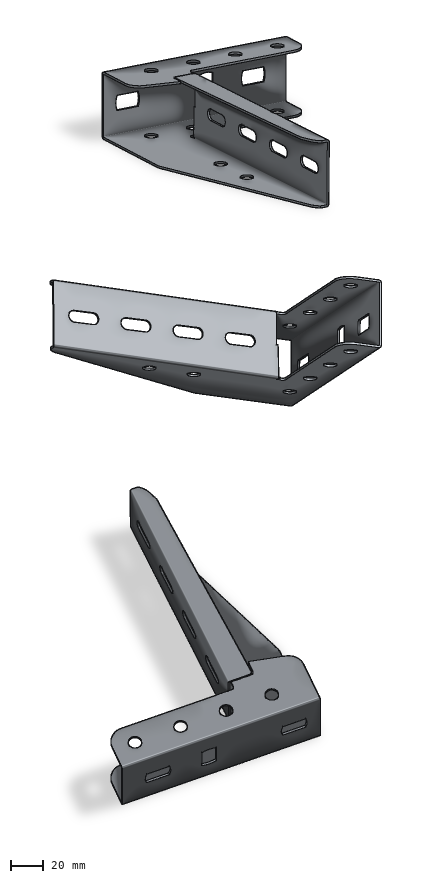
import cadquery as cq
import math

LENGTH = 182.4
WIDTH = 130.0
HEIGHT = 43.2
SHEET = 1.5
BEND_RADIUS = 1.8
MID_Z = HEIGHT / 2

UPRIGHT_DEPTH = 26.6
UPRIGHT_CORNER = 10.0
SHELF_Y = 45.6
RELIEF_RADIUS = 1.8
ARM_ROOT_X = UPRIGHT_DEPTH + 2 * RELIEF_RADIUS
TAB_NOTCH_X = 32.1
TAB_NOTCH_Y = 30.5
TAB_NOTCH_RADIUS = 2.2
TAB_TIP_X = 41.4
TAB_FOOT_X = 34.8
TAB_CORNER = 10.0

ARM_ANGLE = 1.0
ARM_END_Y = 50.2
WEB_LEAN = 1.1
TIP_LEAN = 0.5
WEB_START_X = 31.0
FLANGE_START_X = 32.6
FLANGE_FRONT_Y = 31.4
FLANGE_CORNER = 2.2
FLANGE_MEET = (169.6, 37.5)
TIP_START = (176.0, 40.0)
TIP_MID = (180.0, 42.3)
TIP_END_Y = 45.0
GUSSET_START_X = 65.7
GUSSET_CORNER = 9.1

HOLE_DIAMETER = 8.2
UPRIGHT_HOLES = 4
HOLE_PITCH = 30.0
UPRIGHT_HOLE_X = 14.2
UPRIGHT_HOLE_Y = 26.3
GUSSET_HOLE = (81.7, 34.3)
ARM_SLOTS = 4
ARM_SLOT_X = 57.0
ARM_SLOT_PITCH = 35.0
ARM_SLOT_LENGTH = 20.0
ARM_SLOT_WIDTH = 7.5
ARM_SLOT_TILT = -0.8
WALL_SLOT_LENGTH = 16.8
WALL_SLOT_WIDTH = 9.7
WALL_SLOT_BULGE = 1.0
WALL_SLOTS = [(17.3, 0), (73.1, 90), (106.7, 0)]

BLANK_DEPTH = 82.0
ARM_OVERRUN = 18.2


def channel(length):
    """C-channel along Z of the returned solid; web on x = 0, flanges towards +X, height along Y."""
    outer = (
        cq.Workplane("XY")
        .box(BLANK_DEPTH, HEIGHT, length, centered=False)
        .edges("|Z and <X").fillet(BEND_RADIUS)
    )
    inner = (
        cq.Workplane("XY")
        .box(BLANK_DEPTH, HEIGHT - 2 * SHEET, length, centered=False)
        .edges("|Z and <X").fillet(BEND_RADIUS - SHEET)
        .translate((SHEET, SHEET, 0))
    )
    return outer.cut(inner)


def lower(outline):
    return outline.close().extrude(MID_Z)


def upper(outline):
    return lower(outline).translate((0, 0, MID_Z))


def upright_back():
    """Outline start shared by both upright flanges, up to the edge beside the arm."""
    return (
        cq.Workplane("XY")
        .lineTo(0, WIDTH)
        .lineTo(UPRIGHT_DEPTH - UPRIGHT_CORNER, WIDTH)
        .radiusArc((UPRIGHT_DEPTH, WIDTH - UPRIGHT_CORNER), UPRIGHT_CORNER)
        .lineTo(UPRIGHT_DEPTH, SHELF_Y + RELIEF_RADIUS)
        .radiusArc((UPRIGHT_DEPTH + RELIEF_RADIUS, SHELF_Y), -RELIEF_RADIUS)
    )


def upright():
    blank = channel(WIDTH).rotate((0, 0, 0), (1, 0, 0), 90).translate((0, WIDTH, 0))
    overlap_x = WEB_START_X + WEB_LEAN
    bottom = lower(
        upright_back()
        .radiusArc((ARM_ROOT_X, SHELF_Y + RELIEF_RADIUS), -RELIEF_RADIUS)
        .lineTo(overlap_x, SHELF_Y)
        .lineTo(overlap_x, 0)
    )
    tab_angle = math.atan2(TAB_NOTCH_Y, TAB_TIP_X - TAB_FOOT_X)
    tangent = TAB_CORNER * math.tan(tab_angle / 2)
    corner_top = (
        TAB_FOOT_X + tangent * math.cos(tab_angle),
        tangent * math.sin(tab_angle),
    )
    top = upper(
        upright_back()
        .lineTo(TAB_NOTCH_X, SHELF_Y)
        .lineTo(TAB_NOTCH_X, TAB_NOTCH_Y + TAB_NOTCH_RADIUS)
        .radiusArc((TAB_NOTCH_X + TAB_NOTCH_RADIUS, TAB_NOTCH_Y), -TAB_NOTCH_RADIUS)
        .lineTo(TAB_TIP_X, TAB_NOTCH_Y)
        .lineTo(*corner_top)
        .radiusArc((TAB_FOOT_X - tangent, 0), TAB_CORNER)
    )
    return blank.intersect(bottom.union(top))


def arm_tip(outline):
    """Rounded free end of an arm flange, up to the far side of the arm."""
    return (
        outline.lineTo(*TIP_START)
        .threePointArc(TIP_MID, (LENGTH, TIP_END_Y))
        .lineTo(LENGTH, WIDTH)
    )


def arm():
    blank = (
        channel(LENGTH + ARM_OVERRUN)
        .rotate((0, 0, 0), (1, 0, 0), 90)
        .rotate((0, 0, 0), (0, 0, 1), -90)
        .translate((LENGTH + ARM_OVERRUN, 0, 0))
        .rotate((LENGTH, 0, 0), (LENGTH, 0, 1), ARM_ANGLE)
        .translate((0, ARM_END_Y, 0))
    )
    lean_trim = (
        cq.Workplane("XZ")
        .polyline([
            (WEB_START_X, 0),
            (LENGTH - TIP_LEAN, 0),
            (LENGTH, HEIGHT),
            (WEB_START_X + WEB_LEAN, HEIGHT),
        ])
        .close()
        .extrude(-WIDTH)
    )
    gusset_angle = math.atan2(FLANGE_MEET[1], FLANGE_MEET[0] - GUSSET_START_X)
    tangent = GUSSET_CORNER * math.tan(gusset_angle / 2)
    bottom = lower(
        arm_tip(
            cq.Workplane("XY")
            .moveTo(ARM_ROOT_X, 0)
            .lineTo(GUSSET_START_X - tangent, 0)
            .radiusArc(
                (
                    GUSSET_START_X + tangent * math.cos(gusset_angle),
                    tangent * math.sin(gusset_angle),
                ),
                -GUSSET_CORNER,
            )
        ).lineTo(ARM_ROOT_X, WIDTH)
    )
    top = upper(
        arm_tip(
            cq.Workplane("XY")
            .moveTo(FLANGE_START_X, FLANGE_FRONT_Y + FLANGE_CORNER)
            .radiusArc((FLANGE_START_X + FLANGE_CORNER, FLANGE_FRONT_Y), -FLANGE_CORNER)
            .lineTo(*FLANGE_MEET)
        ).lineTo(FLANGE_START_X, WIDTH)
    )
    return blank.intersect(bottom.union(top)).intersect(lean_trim)


def round_holes(points, height):
    return cq.Workplane("XY").pushPoints(points).circle(HOLE_DIAMETER / 2).extrude(height)


def upright_holes():
    """Row of holes through both upright flanges."""
    points = [(UPRIGHT_HOLE_X, UPRIGHT_HOLE_Y + i * HOLE_PITCH) for i in range(UPRIGHT_HOLES)]
    return round_holes(points, HEIGHT)


def gusset_holes():
    """Pair of holes in the lower flange only, in line with the turned arm."""
    turn = math.radians(ARM_ANGLE)
    x, y = GUSSET_HOLE
    second = (x + HOLE_PITCH * math.cos(turn), y + HOLE_PITCH * math.sin(turn))
    return round_holes([GUSSET_HOLE, second], SHEET)


def arm_slots():
    points = [(ARM_SLOT_X + i * ARM_SLOT_PITCH, MID_Z) for i in range(ARM_SLOTS)]
    return (
        cq.Workplane("XZ", origin=(0, SHELF_Y - SHEET, 0))
        .pushPoints(points)
        .slot2D(ARM_SLOT_LENGTH, ARM_SLOT_WIDTH, ARM_SLOT_TILT)
        .extrude(-2 * (ARM_END_Y - SHELF_Y))
    )


def wall_slot(y, angle):
    """Rectangular slot with arched ends through the mounting wall."""
    half_width = WALL_SLOT_WIDTH / 2
    half_length = WALL_SLOT_LENGTH / 2
    straight = half_length - WALL_SLOT_BULGE
    return (
        cq.Workplane("YZ")
        .moveTo(-straight, -half_width)
        .lineTo(straight, -half_width)
        .threePointArc((half_length, 0), (straight, half_width))
        .lineTo(-straight, half_width)
        .threePointArc((-half_length, 0), (-straight, -half_width))
        .close()
        .extrude(2 * SHEET)
        .rotate((0, 0, 0), (1, 0, 0), angle)
        .translate((0, y, MID_Z))
    )


result = upright().union(arm())
result = result.cut(upright_holes()).cut(gusset_holes()).cut(arm_slots())
for slot_y, slot_angle in WALL_SLOTS:
    result = result.cut(wall_slot(slot_y, slot_angle))